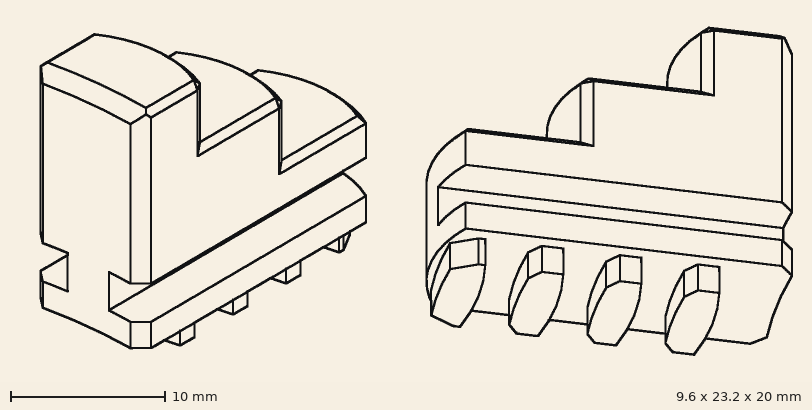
import cadquery as cq

LENGTH = 23.22
WIDTH = 9.6
HALF_WIDTH = WIDTH / 2

TOOTH_HEIGHT = 2.0
STEP_RISE = 5.0
TOTAL_HEIGHT = 20.0
STEP_LENGTH = 7.99
STEP_COUNT = 3

STEP_RADIUS = 9.29
BACK_RADIUS = 38.78
BACK_HOLLOW = 0.19

TOP_CHAMFER = 0.5
BACK_CHAMFER = 1.0
CORNER_BEVEL_WIDTH = 0.46

WEB_WIDTH = 3.58
GROOVE_HEIGHT = 2.9
GROOVE_BOTTOM = 4.0

TOOTH_COUNT = 4
TOOTH_PITCH = 5.18
FIRST_TOOTH_CREST = 22.65
TOOTH_THICKNESS = 2.65
TOOTH_HALF_WIDTH = 3.8
OUTER_TOOTH_RADIUS = 26.94
INNER_TOOTH_RADIUS = 19.5
TOOTH_CORNER_WIDTH = 0.95
TOOTH_CORNER_LENGTH = 0.7
FIRST_TOOTH_CORNER_LENGTH = 1.67


def sagitta(radius, half_chord):
    """Height of an arc above a chord."""
    return radius - (radius**2 - half_chord**2) ** 0.5


def make_corner_wedge(crest, top, side):
    """Cutter that bevels one vertical corner and narrows to a point at the top face."""
    wall_x = HALF_WIDTH - CORNER_BEVEL_WIDTH
    wall_y = crest - sagitta(STEP_RADIUS, wall_x)
    corner_y = crest - sagitta(STEP_RADIUS, HALF_WIDTH)
    flank_y = corner_y - TOP_CHAMFER
    shoulder = top - TOP_CHAMFER

    apex_x = HALF_WIDTH - TOP_CHAMFER
    apex_y = crest - TOP_CHAMFER - sagitta(STEP_RADIUS - TOP_CHAMFER, apex_x)

    flank = (side * HALF_WIDTH, flank_y)
    wall = (side * wall_x, wall_y)
    outer = (side * HALF_WIDTH, 2 * wall_y - flank_y)
    lower = (
        cq.Workplane("XY", origin=(0, 0, TOOTH_HEIGHT))
        .polyline([flank, wall, outer])
        .close()
        .extrude(shoulder - TOOTH_HEIGHT)
    )
    base_points = [cq.Vector(x, y, shoulder) for x, y in (flank, wall, outer)]
    apex = cq.Vector(side * apex_x, apex_y, top)
    faces = [cq.Face.makeFromWires(cq.Wire.makePolygon(base_points, close=True))]
    for index in range(3):
        triangle = [base_points[index], base_points[(index + 1) % 3], apex]
        faces.append(cq.Face.makeFromWires(cq.Wire.makePolygon(triangle, close=True)))
    upper = cq.Solid.makeSolid(cq.Shell.makeShell(faces))
    return lower.union(cq.Workplane(upper))


def make_step(crest, top, is_low, is_tall):
    """Full-depth block from the back face to a rounded step wall at y = crest."""
    front_corner = crest - sagitta(STEP_RADIUS, HALF_WIDTH)
    back_corner = BACK_HOLLOW - sagitta(BACK_RADIUS, HALF_WIDTH)
    block = (
        cq.Workplane("XY", origin=(0, 0, TOOTH_HEIGHT))
        .moveTo(-HALF_WIDTH, back_corner)
        .threePointArc((0, BACK_HOLLOW), (HALF_WIDTH, back_corner))
        .lineTo(HALF_WIDTH, front_corner)
        .threePointArc((0, crest), (-HALF_WIDTH, front_corner))
        .close()
        .extrude(top - TOOTH_HEIGHT)
    )
    if is_tall:
        block = block.faces(">Z").edges("<Y").chamfer(BACK_CHAMFER)
    block = block.edges("|Z").edges("<Y").chamfer(BACK_CHAMFER)

    block = block.faces(">Z").edges(">Y or |Y").chamfer(TOP_CHAMFER)
    if is_low:
        return block
    return block.cut(make_corner_wedge(crest, top, 1)).cut(make_corner_wedge(crest, top, -1))


def make_body():
    body = None
    for index in range(STEP_COUNT):
        crest = LENGTH - index * STEP_LENGTH
        top = TOTAL_HEIGHT - (STEP_COUNT - 1 - index) * STEP_RISE
        step = make_step(crest, top, index == 0, index == STEP_COUNT - 1)
        body = step if body is None else body.union(step)
    return body


def cut_grooves(body):
    depth = HALF_WIDTH - WEB_WIDTH / 2
    for side in (-1, 1):
        groove = cq.Workplane("XY").box(depth, 2 * LENGTH, GROOVE_HEIGHT, centered=(True, True, False))
        body = body.cut(groove.translate((side * (WEB_WIDTH + depth) / 2, LENGTH / 2, GROOVE_BOTTOM)))
    return body


def make_tooth(crest, corner_length):
    """Lens-shaped tooth with bevelled corners on its +Y face."""
    shoulder = TOOTH_HALF_WIDTH - TOOTH_CORNER_WIDTH
    shoulder_y = crest - sagitta(OUTER_TOOTH_RADIUS, shoulder)
    bevel_end_y = shoulder_y - corner_length
    inner_crest = crest - TOOTH_THICKNESS
    inner_corner_y = inner_crest + sagitta(INNER_TOOTH_RADIUS, TOOTH_HALF_WIDTH)
    return (
        cq.Workplane("XY")
        .moveTo(-TOOTH_HALF_WIDTH, inner_corner_y)
        .threePointArc((0, inner_crest), (TOOTH_HALF_WIDTH, inner_corner_y))
        .lineTo(TOOTH_HALF_WIDTH, bevel_end_y)
        .lineTo(shoulder, shoulder_y)
        .threePointArc((0, crest), (-shoulder, shoulder_y))
        .lineTo(-TOOTH_HALF_WIDTH, bevel_end_y)
        .close()
        .extrude(TOOTH_HEIGHT)
    )


result = cut_grooves(make_body())
for tooth_index in range(TOOTH_COUNT):
    tooth_crest = FIRST_TOOTH_CREST - tooth_index * TOOTH_PITCH
    bevel_length = FIRST_TOOTH_CORNER_LENGTH if tooth_index == 0 else TOOTH_CORNER_LENGTH
    result = result.union(make_tooth(tooth_crest, bevel_length))